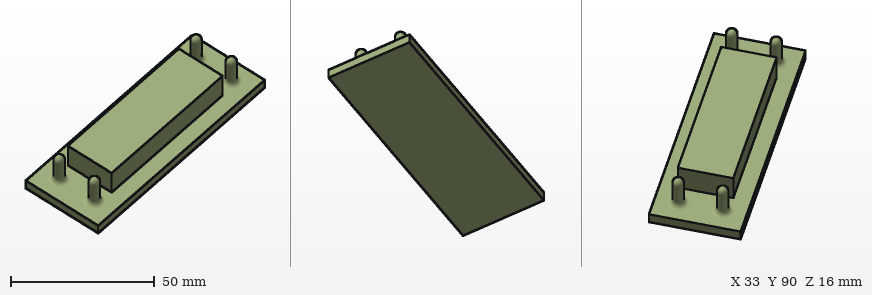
import cadquery as cq

plate_width = 33.0
plate_length = 90.0
plate_thickness = 4.0
total_height = 16.0

block_width = 20.0
block_length = 60.0
block_height = 10.0

pin_diameter = 4.05
pin_radius = pin_diameter / 2
root_fillet = 2.0
pin_spacing_x = 16.0
pin_spacing_y = 74.0
pin_height = total_height - plate_thickness


def make_plate():
    return cq.Workplane("XY").box(
        plate_width, plate_length, plate_thickness, centered=(True, True, False)
    )


def make_block():
    return (
        cq.Workplane("XY", origin=(0, 0, plate_thickness))
        .rect(block_width, block_length)
        .extrude(block_height)
    )


def make_pin():
    """Pin along Z with a flared root and a hemispherical tip, starting under the plate top."""
    diagonal = 0.5 ** 0.5
    root_radius = pin_radius + root_fillet
    flare_middle = (root_radius - root_fillet * diagonal, root_fillet * (1 - diagonal))
    dome_start = pin_height - pin_radius
    dome_middle = (pin_radius * diagonal, dome_start + pin_radius * diagonal)
    embed_depth = plate_thickness / 2
    return (
        cq.Workplane("XZ")
        .moveTo(0, -embed_depth)
        .lineTo(root_radius, -embed_depth)
        .lineTo(root_radius, 0)
        .threePointArc(flare_middle, (pin_radius, root_fillet))
        .lineTo(pin_radius, dome_start)
        .threePointArc(dome_middle, (0, pin_height))
        .close()
        .revolve(360, (0, 0, 0), (0, 1, 0))
    )


result = make_plate().union(make_block())
pin = make_pin()
for side_x in (-1, 1):
    for side_y in (-1, 1):
        pin_position = (side_x * pin_spacing_x / 2, side_y * pin_spacing_y / 2, plate_thickness)
        result = result.union(pin.translate(pin_position))